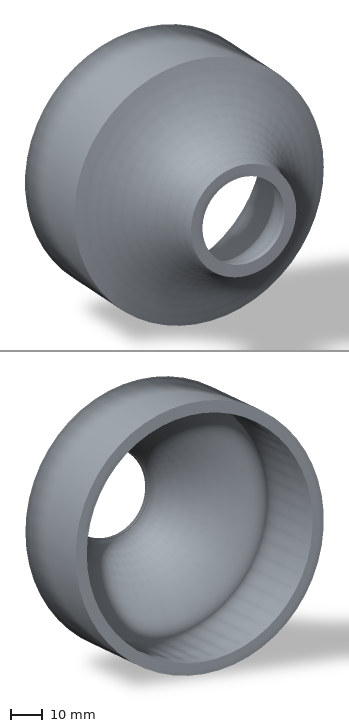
import cadquery as cq
import math

rim_radius = 44.65
wall = 4.0
total_length = 62.3
cup_length = 32.8
neck_radius = 18.8
flare_radius = 32.4
bore_radius = 14.7
lip_length = 1.8

flare_length = total_length - cup_length
flare_drop = rim_radius - neck_radius
chord = math.hypot(flare_length, flare_drop)
center_offset = math.sqrt(flare_radius**2 - (chord / 2) ** 2)
center_x = (cup_length + total_length) / 2 + center_offset * flare_drop / chord
center_r = (rim_radius + neck_radius) / 2 + center_offset * flare_length / chord


def flared_solid(cup_radius, arc_radius, end_x):
    """Solid of revolution about X: a straight cup, then a concave flare up to end_x."""
    start_angle = math.asin((center_r - cup_radius) / arc_radius)
    end_angle = math.acos((center_x - end_x) / arc_radius)

    def arc_point(angle):
        return (
            center_x - arc_radius * math.cos(angle),
            center_r - arc_radius * math.sin(angle),
        )

    return (
        cq.Workplane("XY")
        .lineTo(0, cup_radius)
        .lineTo(*arc_point(start_angle))
        .threePointArc(arc_point((start_angle + end_angle) / 2), arc_point(end_angle))
        .lineTo(end_x, 0)
        .close()
        .revolve(360, (0, 0, 0), (1, 0, 0))
    )


outer_body = flared_solid(rim_radius, flare_radius, total_length)
cavity = flared_solid(rim_radius - wall, flare_radius + wall, total_length - lip_length)

bore = cq.Workplane("YZ").circle(bore_radius).extrude(total_length)

result = outer_body.cut(cavity).cut(bore)